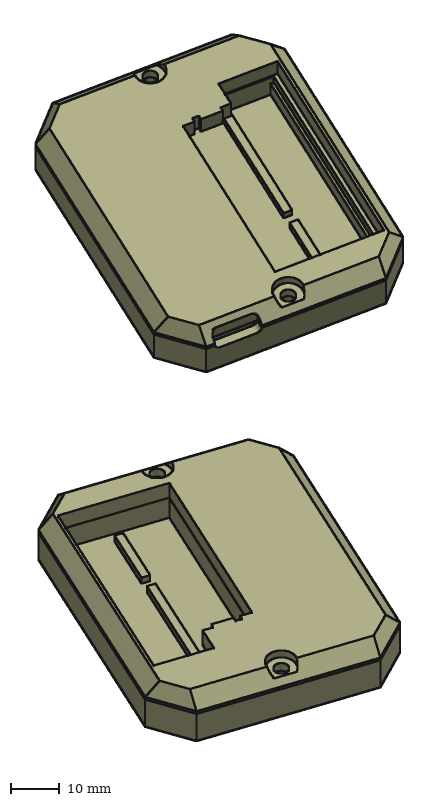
import cadquery as cq

LENGTH = 71.9
WIDTH = 57.2
HEIGHT = 11.7
CORNER_X = 8.2
CORNER_Y = 8.0
BEVEL_X = 3.4
BEVEL_Y = 3.2
BEVEL_HEIGHT = 3.4
SPLIT_Z = 7.6
BEVEL_Z = HEIGHT - BEVEL_HEIGHT

WINDOW_LEFT = -23.0
WINDOW_RIGHT = 26.8
WINDOW_BACK = 24.65
WINDOW_FRONT = -0.35
WINDOW_STEP_Y = 11.15
WINDOW_SHOULDER_X = -17.2
WINDOW_NARROW_X = -16.2
SHOULDER_FRONT_Y = 8.8
NOTCH_BACK_Y = 3.75
NOTCH_FRONT_Y = 2.3

POCKET_LEFT = -22.7
POCKET_BACK = 23.65
LEDGE_DEPTH = 0.7
LEDGE_Z = 5.6
FLOOR_Z = 2.0

RIB_FRONT = 10.9
RIB_BACK = 12.9
RIB_HEIGHT = 1.65
RIB_SPANS = [(POCKET_LEFT, 7.85), (10.65, 24.65)]

SCREW_X = 32.3
SCREW_DIAMETER = 3.2
HEAD_DIAMETER = 6.7
HEAD_DEPTH = 1.95

PORT_Y = -13.2
PORT_WIDTH = 10.8
PORT_HEIGHT = 4.0
PORT_CORNER_RADIUS = 1.4
PORT_TOP_Z = 10.5
PORT_DEPTH = 2.15


def box_between(x_range, y_range, z_range):
    """Box spanning the given (low, high) ranges along X, Y and Z."""
    size = [high - low for low, high in (x_range, y_range, z_range)]
    corner = (x_range[0], y_range[0], z_range[0])
    return cq.Workplane("XY").box(*size, centered=False).translate(corner)


def octagon(half_x, half_y):
    """Octagon corners; the cut corners start at the same X and Y at every level."""
    corner_x = LENGTH / 2 - CORNER_X
    corner_y = WIDTH / 2 - CORNER_Y
    return [
        (half_x, -corner_y), (half_x, corner_y),
        (corner_x, half_y), (-corner_x, half_y),
        (-half_x, corner_y), (-half_x, -corner_y),
        (-corner_x, -half_y), (corner_x, -half_y),
    ]


def outer_prism(bottom_z, top_z):
    outline = octagon(LENGTH / 2, WIDTH / 2)
    return cq.Workplane("XY").workplane(offset=bottom_z).polyline(outline).close().extrude(top_z - bottom_z)


def bevelled_top():
    return (
        cq.Workplane("XY").workplane(offset=BEVEL_Z)
        .polyline(octagon(LENGTH / 2, WIDTH / 2)).close()
        .workplane(offset=BEVEL_HEIGHT)
        .polyline(octagon(LENGTH / 2 - BEVEL_X, WIDTH / 2 - BEVEL_Y)).close()
        .loft(ruled=True)
    )


def screw_cylinders(diameter, bottom_z):
    """One cylinder per screw, from bottom_z up to the top of the part."""
    return (
        cq.Workplane("XY").workplane(offset=bottom_z)
        .pushPoints([(-SCREW_X, 0), (SCREW_X, 0)])
        .circle(diameter / 2).extrude(HEIGHT - bottom_z)
    )


def window_cutter():
    outline = [
        (WINDOW_LEFT, WINDOW_BACK),
        (WINDOW_RIGHT, WINDOW_BACK),
        (WINDOW_RIGHT, WINDOW_FRONT),
        (WINDOW_NARROW_X, WINDOW_FRONT),
        (WINDOW_NARROW_X, NOTCH_FRONT_Y),
        (WINDOW_SHOULDER_X, NOTCH_FRONT_Y),
        (WINDOW_SHOULDER_X, NOTCH_BACK_Y),
        (WINDOW_NARROW_X, NOTCH_BACK_Y),
        (WINDOW_NARROW_X, SHOULDER_FRONT_Y),
        (WINDOW_SHOULDER_X, SHOULDER_FRONT_Y),
        (WINDOW_SHOULDER_X, WINDOW_STEP_Y),
        (WINDOW_LEFT, WINDOW_STEP_Y),
    ]
    return (
        cq.Workplane("XY").workplane(offset=SPLIT_Z)
        .polyline(outline).close().extrude(HEIGHT - SPLIT_Z)
    )


def port_cutter():
    """Rounded rectangle cut inward from the +X side, across the plane where the bodies meet."""
    return (
        cq.Workplane("YZ").workplane(offset=LENGTH / 2 - PORT_DEPTH)
        .center(PORT_Y, PORT_TOP_Z - PORT_HEIGHT / 2)
        .rect(PORT_WIDTH, PORT_HEIGHT).extrude(PORT_DEPTH)
        .edges("|X").fillet(PORT_CORNER_RADIUS)
    )


def make_base():
    body = outer_prism(0, SPLIT_Z)
    pocket_x = (POCKET_LEFT, WINDOW_RIGHT)
    body = body.cut(box_between(pocket_x, (WINDOW_FRONT, POCKET_BACK), (LEDGE_Z, SPLIT_Z)))
    body = body.cut(box_between(pocket_x, (WINDOW_FRONT, POCKET_BACK - LEDGE_DEPTH), (FLOOR_Z, LEDGE_Z)))
    for span in RIB_SPANS:
        body = body.union(box_between(span, (RIB_FRONT, RIB_BACK), (FLOOR_Z, FLOOR_Z + RIB_HEIGHT)))
    body = body.cut(screw_cylinders(SCREW_DIAMETER, 0))
    return body.cut(port_cutter())


def make_lid():
    body = outer_prism(SPLIT_Z, BEVEL_Z).union(bevelled_top())
    body = body.cut(window_cutter())
    body = body.cut(screw_cylinders(SCREW_DIAMETER, SPLIT_Z))
    body = body.cut(screw_cylinders(HEAD_DIAMETER, HEIGHT - HEAD_DEPTH))
    return body.cut(port_cutter())


base = make_base()
lid = make_lid()

result = cq.Compound.makeCompound([base.val(), lid.val()])